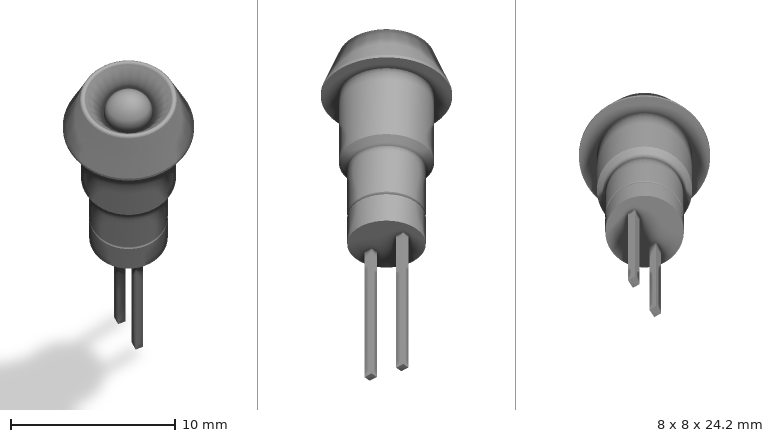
import cadquery as cq
import math

FLANGE_DIAMETER = 8.0
FLANGE_HEIGHT = 3.0
FLANGE_EDGE = 0.2
RIM_OUTER_DIAMETER = 5.9
RIM_INNER_DIAMETER = 5.23
RIM_DROP = 0.1

BODY_DIAMETER = 5.8
BODY_LENGTH = 5.0
BODY_CHAMFER = 0.5
SLEEVE_DIAMETER = BODY_DIAMETER - 2 * BODY_CHAMFER
SLEEVE_LENGTH = 11.2
GROOVE_DEPTH = 0.1
GROOVE_WIDTH = 0.2
GROOVE_FROM_END = 2.0

LED_DIAMETER = 3.0
CUP_DEPTH = LED_DIAMETER / 2

TOTAL_LENGTH = 24.2
LEAD_WIDTH = 0.58
LEAD_THICKNESS = 0.48
LEAD_SPACING = 2.55
LEAD_STAGGER = 0.5


def make_housing():
    """Turned housing with a conical reflector cup and a domed LED."""
    flange_radius = FLANGE_DIAMETER / 2
    rim_outer = RIM_OUTER_DIAMETER / 2
    rim_inner = RIM_INNER_DIAMETER / 2
    rim_middle = (rim_outer + rim_inner) / 2
    rim_edge = FLANGE_HEIGHT - RIM_DROP
    body_radius = BODY_DIAMETER / 2
    sleeve_radius = SLEEVE_DIAMETER / 2
    groove_radius = sleeve_radius - GROOVE_DEPTH
    led_radius = LED_DIAMETER / 2
    cup_floor = FLANGE_HEIGHT - CUP_DEPTH
    groove_bottom = GROOVE_FROM_END - SLEEVE_LENGTH
    groove_top = groove_bottom + GROOVE_WIDTH
    groove_middle = (groove_bottom + groove_top) / 2
    dome_mid = led_radius * math.sin(math.radians(45))

    profile = (
        cq.Workplane("XZ")
        .moveTo(0, -SLEEVE_LENGTH)
        .lineTo(sleeve_radius, -SLEEVE_LENGTH)
        .lineTo(sleeve_radius, groove_bottom)
        .lineTo(groove_radius, groove_middle)
        .lineTo(sleeve_radius, groove_top)
        .lineTo(sleeve_radius, -BODY_LENGTH - BODY_CHAMFER)
        .lineTo(body_radius, -BODY_LENGTH)
        .lineTo(body_radius, 0)
        .lineTo(flange_radius, 0)
        .lineTo(flange_radius, FLANGE_EDGE)
        .lineTo(rim_outer, rim_edge)
        .threePointArc((rim_middle, FLANGE_HEIGHT), (rim_inner, rim_edge))
        .lineTo(led_radius, cup_floor)
        .threePointArc((dome_mid, cup_floor + dome_mid), (0, cup_floor + led_radius))
        .close()
    )
    return profile.revolve(360, (0, 0), (0, 1))


def make_lead(x, length):
    """Rectangular lead hanging from the end face of the sleeve."""
    return (
        cq.Workplane("XY", origin=(x, 0, -SLEEVE_LENGTH))
        .rect(LEAD_WIDTH, LEAD_THICKNESS)
        .extrude(-length)
    )


long_lead = TOTAL_LENGTH - FLANGE_HEIGHT - SLEEVE_LENGTH
result = (
    make_housing()
    .union(make_lead(-LEAD_SPACING / 2, long_lead))
    .union(make_lead(LEAD_SPACING / 2, long_lead - LEAD_STAGGER))
)